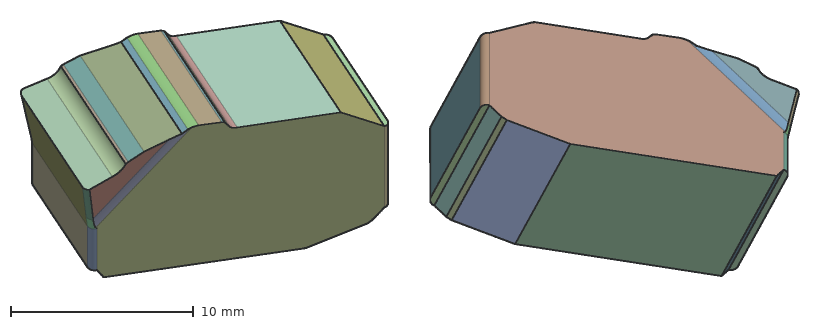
import cadquery as cq
import math

length = 19.0
height = 14.42
body_width = 7.3
front_face_y = 0.5
tip_z = 13.03
front_face_bottom_z = 5.4
rear_face_top_z = 7.73
rear_face_bottom_z = 0.8
rear_step_y = length - 0.4
front_bend_z = 8.97
shoulder_z = 14.21
edge_radius = 0.4

fold_lower_y = 0.9
fold_lower_z = 9.15
fold = math.radians(42.2)
flare = math.radians(7.0)
flare_blend_radius = 6.65
flare_start_z = 9.9
prism_reach = 22.8
clearance = 0.38


def side_profile():
    """Closed outline in the YZ plane, starting at the front tip."""
    return (
        cq.Workplane("YZ")
        .moveTo(0, tip_z)
        .lineTo(1.71, 13.25)
        .threePointArc((2.25, 13.45), (2.55, 13.87))
        .lineTo(2.7, 13.95)
        .lineTo(3.7, shoulder_z)
        .lineTo(6.14, shoulder_z)
        .lineTo(6.5, 14.38)
        .threePointArc((6.84, height), (7.16, 14.36))
        .lineTo(8.59, 13.83)
        .lineTo(8.78, 13.7)
        .lineTo(9.05, 13.22)
        .threePointArc((9.23, 13.0), (9.54, 12.85))
        .lineTo(15.92, 10.56)
        .lineTo(rear_step_y, 7.87)
        .lineTo(length, rear_face_top_z)
        .lineTo(length, rear_face_bottom_z)
        .lineTo(rear_step_y, rear_face_bottom_z)
        .lineTo(17.88, 0.13)
        .lineTo(17.55, 0)
        .lineTo(13.74, 0)
        .lineTo(1.31, 4.46)
        .lineTo(fold_lower_y, 5.32)
        .lineTo(front_face_y, front_face_bottom_z)
        .lineTo(front_face_y, front_bend_z)
        .close()
    )


def flank_blend_point(angle):
    """Half-width and distance from the fold where the blend has turned by angle."""
    x = body_width / 2 + flare_blend_radius * (1 - math.cos(angle))
    return x, flare_blend_radius * math.sin(angle)


def flank_half_width(y, z):
    """Half-width of the flared flank at a point beyond the blend."""
    distance = (z - fold_lower_z) * math.cos(fold) - (y - fold_lower_y) * math.sin(fold)
    blend_x, blend_distance = flank_blend_point(flare)
    return blend_x + (distance - blend_distance) * math.tan(flare)


def flank_prism():
    """Prism along the fold line whose sides are the body flanks and flares."""
    half = body_width / 2
    blend_x, blend_v = flank_blend_point(flare)
    mid_x, mid_v = flank_blend_point(flare / 2)
    outer_x = blend_x + (prism_reach - blend_v) * math.tan(flare)

    section_plane = cq.Plane(
        origin=(0, fold_lower_y, fold_lower_z),
        xDir=(1, 0, 0),
        normal=(0, -math.cos(fold), -math.sin(fold)),
    )
    return (
        cq.Workplane(section_plane)
        .moveTo(-half, -prism_reach)
        .lineTo(half, -prism_reach)
        .lineTo(half, 0)
        .threePointArc((mid_x, mid_v), (blend_x, blend_v))
        .lineTo(outer_x, prism_reach)
        .lineTo(-outer_x, prism_reach)
        .lineTo(-blend_x, blend_v)
        .threePointArc((-mid_x, mid_v), (-half, 0))
        .close()
        .extrude(prism_reach, both=True)
    )


def front_y(z):
    """Front face position on the leaning part above the bend."""
    lean = front_face_y / (tip_z - front_bend_z)
    return front_face_y - lean * (z - front_bend_z)


def rounded_corner_envelope():
    """Solid with rounded upright corners that follows the front face and its flare."""
    half = body_width / 2
    top_z = height + clearance
    sections = [
        (half, front_face_y, -clearance),
        (half, front_face_y, front_bend_z),
    ]
    for z in (flare_start_z, top_z):
        sections.append((flank_half_width(front_y(z), z), front_y(z), z))
    outlines = []
    for half_width, front, z in sections:
        outline = (
            cq.Sketch()
            .push([(0, (front + length) / 2)])
            .rect(2 * half_width, length - front)
            .reset()
            .vertices()
            .fillet(edge_radius)
        )
        outlines.append(outline.moved(cq.Location(cq.Vector(0, 0, z))))
    return cq.Workplane("XY").placeSketch(*outlines).loft(ruled=True)


block = side_profile().extrude(body_width, both=True)
result = block.intersect(flank_prism()).intersect(rounded_corner_envelope())